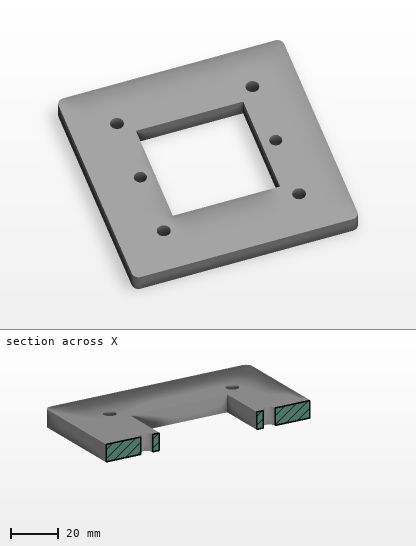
import cadquery as cq

side = 100.0
thickness = 8.0
corner_radius = 3.0

window_side = 47.5

hole_pitch = 30.0
corner_hole_diameter = 5.8
middle_hole_diameter = 5.5

corner_hole_places = [(x, y) for x in (-hole_pitch, hole_pitch) for y in (-hole_pitch, hole_pitch)]
middle_hole_places = [(0, -hole_pitch), (0, hole_pitch)]


def drill(body, places, diameter):
    """Drill through holes down from the top face."""
    return body.faces(">Z").workplane(origin=(0, 0, 0)).pushPoints(places).hole(diameter)


plate = cq.Workplane("XY").box(side, side, thickness).edges("|Z").fillet(corner_radius)
plate = plate.faces(">Z").workplane(origin=(0, 0, 0)).rect(window_side, window_side).cutThruAll()
plate = drill(plate, corner_hole_places, corner_hole_diameter)
result = drill(plate, middle_hole_places, middle_hole_diameter)